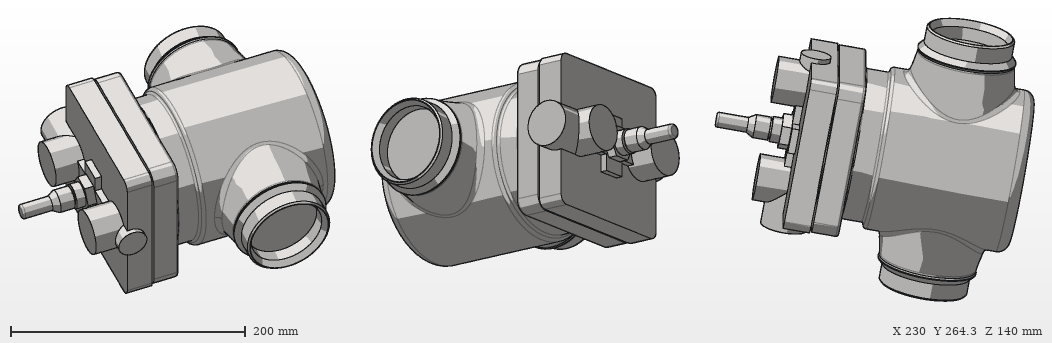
import cadquery as cq
import math


overall_length = 264.3
body_radius = 70.0
back_y = 64.5
back_round = 10.0
shoulder_y = -60.8
shoulder_round = 3.0
neck_radius = 65.0
neck_cove = body_radius - neck_radius - shoulder_round

flange_side = 135.0
flange_back_y = -82.2
flange_front_y = -105.2
flange_corner = 12.0
flange_edge_round = 2.0
flange_cove = 1.5
seal_radius = 125.0 / 2
cover_back_y = -106.8
cover_front_y = -129.8
cover_corner = 8.0

port_end_x = 115.0
pipe_radius = 38.0
pipe_end_chamfer = 1.5
collar_radius = 42.5
collar_outer_x = 95.0
collar_bevel_length = 5.0
collar_land = 0.8
collar_relief = 0.5
relief_end_x = 92.5
cone_start_x = 91.0
cone_angle = 10.5
port_fillet = 5.3
bore_radius = 32.5
bore_mouth_radius = 36.0
bore_depth = 17.2
lead_in_angle = 30.0

stub_radius = 40.0 / 2
stub_spacing = 88.0
stub_front_y = -157.0
side_pipe_y = -126.3
left_pipe_end_x = -83.2
right_pipe_end_x = 71.5
right_pipe_radius = 26.0 / 2

cross_thickness = 6.0
cross_bar_width = 22.0
cross_bar_height = 51.8

hex_across_flats = 27.0
hex_front_y = -144.0
gland_radius = 22.0 / 2
gland_front_y = -152.2
groove_radius = 14.5 / 2
groove_front_y = -153.8
sleeve_radius = 20.0 / 2
sleeve_front_y = -166.7
taper_front_y = -172.8
tip_radius = 13.0 / 2
tip_y = back_y - overall_length
tip_round = 1.8


def round_along_y(radius, start_y, end_y, x=0):
    """Cylinder about an axis parallel to Y."""
    return cq.Workplane("XZ", origin=(x, start_y, 0)).circle(radius).extrude(start_y - end_y)


def round_along_x(radius, start_x, end_x, y):
    """Cylinder about an axis parallel to X."""
    return cq.Workplane("YZ", origin=(start_x, y, 0)).circle(radius).extrude(end_x - start_x)


def plate(width, height, back, front):
    """Rectangular plate centred on the main axis."""
    return cq.Workplane("XZ", origin=(0, back, 0)).rect(width, height).extrude(back - front)


def make_barrel():
    """Cylindrical body with a rounded closed end."""
    barrel = round_along_y(body_radius, back_y, shoulder_y)
    barrel = barrel.faces(">Y").edges().fillet(back_round)
    return barrel.faces("<Y").edges().fillet(shoulder_round)


def make_cove_ring(root_radius, wall_y, cove_radius, side):
    """Concave ring between a shaft and a wall; side is the direction (+1 or -1) away from the wall."""
    outer = root_radius + cove_radius
    shaft_y = wall_y + side * cove_radius
    arc_reach = cove_radius * math.sin(math.pi / 4)
    arc_middle = (outer - arc_reach, shaft_y - side * arc_reach)
    sketch = cq.Workplane("XY").moveTo(0, wall_y).lineTo(outer, wall_y)
    sketch = sketch.threePointArc(arc_middle, (root_radius, shaft_y))
    return sketch.lineTo(0, shaft_y).close().revolve(360, (0, 0, 0), (0, 1, 0))


def make_neck():
    """Neck between body and flange, with a cove at both ends."""
    neck = round_along_y(neck_radius, shoulder_y, flange_back_y)
    body_cove = make_cove_ring(neck_radius, shoulder_y, neck_cove, -1)
    flat_side = flange_side - 2 * flange_edge_round
    flange_flat = plate(flat_side, flat_side, shoulder_y, flange_front_y)
    cove = make_cove_ring(neck_radius, flange_back_y, flange_cove, 1).intersect(flange_flat)
    return neck.union(body_cove).union(cove)


def make_square_covers():
    """Flange and cover plates separated by a thin round seal disc."""
    flange = plate(flange_side, flange_side, flange_back_y, flange_front_y)
    flange = flange.edges("|Y").fillet(flange_corner)
    flange = flange.faces(">Y").edges().fillet(flange_edge_round)
    seal = round_along_y(seal_radius, flange_front_y, cover_back_y)
    cover = plate(flange_side, flange_side, cover_back_y, cover_front_y)
    cover = cover.edges("|Y").fillet(cover_corner)
    return flange.union(seal).union(cover)


def make_port_cone():
    """Both tapered port roots, widening towards the main axis."""
    start_radius = collar_radius - collar_relief
    axis_radius = start_radius + cone_start_x * math.tan(math.radians(cone_angle))
    half = [(0, 0), (0, axis_radius), (cone_start_x, start_radius), (cone_start_x, 0)]
    cone = cq.Workplane("XY").polyline(half).close().revolve(360, (0, 0, 0), (1, 0, 0))
    return cone.union(cone.mirror("YZ"))


def make_port_end():
    """Collar and welding end of the +X port."""
    bevel_end_x = collar_outer_x + collar_bevel_length
    relief_radius = collar_radius - collar_relief
    profile = [
        (cone_start_x, 0),
        (cone_start_x, relief_radius),
        (relief_end_x, relief_radius),
        (collar_outer_x - collar_land, collar_radius),
        (collar_outer_x, collar_radius),
        (bevel_end_x, pipe_radius),
        (port_end_x - pipe_end_chamfer, pipe_radius),
        (port_end_x, pipe_radius - pipe_end_chamfer),
        (port_end_x, 0),
    ]
    return cq.Workplane("XY").polyline(profile).close().revolve(360, (0, 0, 0), (1, 0, 0))


def make_port_bore():
    """Blind bore of the +X port with a conical lead-in."""
    lead_in = (bore_mouth_radius - bore_radius) / math.tan(math.radians(lead_in_angle))
    profile = [
        (port_end_x, 0),
        (port_end_x, bore_mouth_radius),
        (port_end_x - lead_in, bore_radius),
        (port_end_x - bore_depth, bore_radius),
        (port_end_x - bore_depth, 0),
    ]
    return cq.Workplane("XY").polyline(profile).close().revolve(360, (0, 0, 0), (1, 0, 0))


def make_body_with_port_roots():
    """Body joined to the port cones, with the two saddle edges filleted."""
    joined = make_barrel().union(make_port_cone())
    reach = body_radius + port_fillet
    for start_x, end_x in ((0, reach), (-reach, 0)):
        lower_corner = (start_x, shoulder_y + shoulder_round, -body_radius)
        upper_corner = (end_x, back_y - back_round, body_radius)
        zone = cq.selectors.BoxSelector(lower_corner, upper_corner, boundingbox=True)
        joined = joined.edges(zone).fillet(port_fillet)
    return joined


def make_stubs():
    """Two stubs on the cover, each with a side pipe."""
    stub_x = stub_spacing / 2
    stubs = round_along_y(stub_radius, cover_back_y, stub_front_y, -stub_x)
    stubs = stubs.union(round_along_y(stub_radius, cover_back_y, stub_front_y, stub_x))
    stubs = stubs.union(round_along_x(stub_radius, left_pipe_end_x, -stub_x, side_pipe_y))
    return stubs.union(round_along_x(right_pipe_radius, stub_x, right_pipe_end_x, side_pipe_y))


def make_cross():
    """Raised cross: one bar joins the stubs, the other crosses it upright."""
    cross_front_y = cover_front_y - cross_thickness
    flat_bar = plate(stub_spacing, cross_bar_width, cover_front_y, cross_front_y)
    upright_bar = plate(cross_bar_width, cross_bar_height, cover_front_y, cross_front_y)
    return flat_bar.union(upright_bar)


def make_spindle():
    """Hexagon nut, gland, groove, sleeve, taper and rounded tip."""
    across_corners = hex_across_flats / math.cos(math.pi / 6)
    nut = cq.Workplane("XZ", origin=(0, cover_front_y, 0)).polygon(6, across_corners)
    nut = nut.extrude(cover_front_y - hex_front_y)
    profile = [
        (0, hex_front_y),
        (gland_radius, hex_front_y),
        (gland_radius, gland_front_y),
        (groove_radius, gland_front_y),
        (groove_radius, groove_front_y),
        (sleeve_radius, groove_front_y),
        (sleeve_radius, sleeve_front_y),
        (tip_radius, taper_front_y),
        (tip_radius, tip_y),
        (0, tip_y),
    ]
    stem = cq.Workplane("XY").polyline(profile).close().revolve(360, (0, 0, 0), (0, 1, 0))
    return nut.union(stem.faces("<Y").edges().fillet(tip_round))


port_end = make_port_end()
port_bore = make_port_bore()

features = [
    port_end,
    port_end.mirror("YZ"),
    make_neck(),
    make_square_covers(),
    make_stubs(),
    make_cross(),
    make_spindle(),
]

result = make_body_with_port_roots()
for feature in features:
    result = result.union(feature)
result = result.cut(port_bore).cut(port_bore.mirror("YZ"))